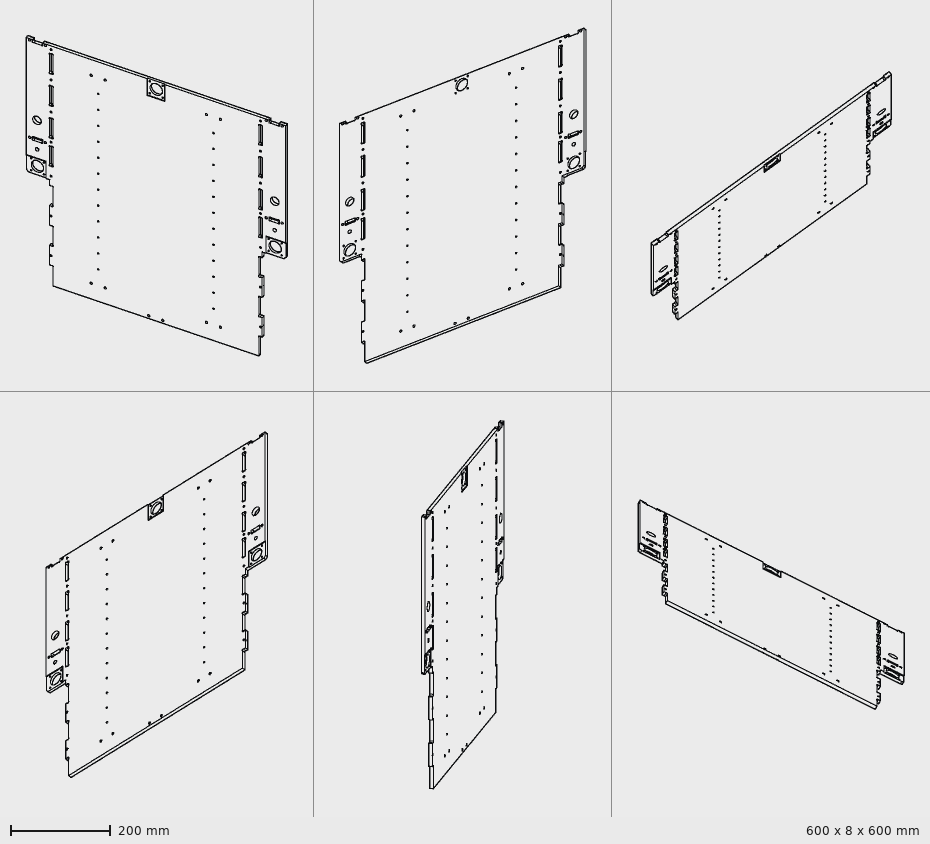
import cadquery as cq
import math

panel_size = 600.0
thickness = 8.0
half = panel_size / 2
front_y = -thickness / 2

body_half_width = 238.0
tab_depth = 8.0
tab_length = 49.0
slot_length = 50.0
tab_outer_x = body_half_width + tab_depth
tab_column_x = body_half_width + tab_depth / 2
tab_centres_z = (-126.0, -225.5)
slot_centres_z = (255.0, 174.5, 93.5, 23.5)
wing_pin_centres_z = (290.5, 215.0, 134.5, 59.0, -26.5)
pin_hole_diameter = 4.0
relief_diameter = 4.0

wing_bottom_z = -36.5
wing_chamfer = 5.0
half_tab_bottom_z = -51.0

fan_bore_diameter = 28.0
fan_screw_diameter = 3.0
fan_screw_spacing = 30.0
fan_recess_size = 41.0
fan_recess_depth = 2.0
top_recess_height = 42.0
top_fan_z = 279.0
wing_fan_x = 275.0
wing_fan_z = -15.0

cable_hole_diameter = 20.0
cable_hole_z = 101.5
small_hole_diameter = 8.0
small_hole_z = 29.0
connector_x = 273.5
connector_z = 53.0
connector_width = 23.5
connector_height = 8.5
connector_screw_spacing = 36.5
connector_screw_diameter = 5.0

notch_depth = 6.5
notch_screw_z = 296.5

rail_x = 133.0
rail_length = 440.0
rail_hole_count = 12
rail_hole_diameter = 3.0
bracket_z = 260.5
bracket_screw_spacing = 32.5
bracket_screw_diameter = 5.0
bottom_screw_z = -293.0


def box(x, z, width, height, depth=thickness):
    """Block centred at (x, z), reaching from the front face to the given depth."""
    return cq.Workplane("XY").box(width, depth, height).translate((x, front_y + depth / 2, z))


def holes(points, diameter):
    """Round through-cutters at the (x, z) points."""
    plane = cq.Workplane("XZ", origin=(0, thickness, 0))
    return plane.pushPoints(points).circle(diameter / 2).extrude(2 * thickness)


def mirrored(points):
    """The (x, z) points together with their mirror images across X = 0."""
    return points + [(-x, z) for x, z in points]


def corner_reliefs(corners):
    """Cutters that round out inside corners on both sides of the panel.

    Each corner is (x, z, x_sign, z_sign), with the signs pointing into the open space.
    Each cutter's rim passes through its corner.
    """
    inset = relief_diameter / 2 / math.sqrt(2)
    centres = [(x + i * inset, z + j * inset) for x, z, i, j in corners]
    return holes(mirrored(centres), relief_diameter)


def opening_corners(x, z, width, height):
    """The four inside corners of a rectangular opening centred at (x, z)."""
    signs = [(i, j) for i in (-1, 1) for j in (-1, 1)]
    return [(x + i * width / 2, z + j * height / 2, -i, -j) for i, j in signs]


def panel_blank():
    """Plain panel with its wings, half tabs and side tabs."""
    wing_height = half - wing_bottom_z
    blank = box(0, 0, 2 * body_half_width, panel_size)
    wings = box(0, half - wing_height / 2, panel_size, wing_height)
    wings = wings.edges("|Y and <Z").chamfer(wing_chamfer)
    half_tabs = box(0, half_tab_bottom_z / 2, 2 * tab_outer_x, -half_tab_bottom_z)
    blank = blank.union(wings).union(half_tabs)
    for z in tab_centres_z:
        blank = blank.union(box(0, z, 2 * tab_outer_x, tab_length))
    return blank


def fan_holes(panel, x, z):
    """Cut a fan bore and its four screw holes around (x, z)."""
    offset = fan_screw_spacing / 2
    screws = [(x + i * offset, z + j * offset) for i in (-1, 1) for j in (-1, 1)]
    return panel.cut(holes([(x, z)], fan_bore_diameter)).cut(holes(screws, fan_screw_diameter))


def cut_fan_mounts(panel):
    """Cut the recesses and holes of the top fan and the two wing fans."""
    recess_z = half - top_recess_height / 2
    panel = panel.cut(box(0, recess_z, fan_recess_size, top_recess_height, fan_recess_depth))
    panel = fan_holes(panel, 0, top_fan_z)
    inner_x = wing_fan_x - fan_recess_size / 2
    top_z = wing_fan_z + fan_recess_size / 2
    width = half - inner_x
    height = top_z - wing_bottom_z
    for side in (-1, 1):
        x = side * (inner_x + width / 2)
        panel = panel.cut(box(x, top_z - height / 2, width, height, fan_recess_depth))
        panel = fan_holes(panel, side * wing_fan_x, wing_fan_z)
    return panel


def cut_tab_column(panel):
    """Cut the wing slots, the inside corner reliefs and the pin holes along the tab columns."""
    for side in (-1, 1):
        for z in slot_centres_z:
            panel = panel.cut(box(side * tab_column_x, z, tab_depth, slot_length))
    corners = [(body_half_width, half_tab_bottom_z, 1, -1)]
    for z in tab_centres_z:
        corners += [(body_half_width, z + j * tab_length / 2, 1, j) for j in (-1, 1)]
    for z in slot_centres_z:
        corners += opening_corners(tab_column_x, z, tab_depth, slot_length)
    panel = panel.cut(corner_reliefs(corners))
    pins = [(tab_column_x, z) for z in wing_pin_centres_z + tab_centres_z]
    return panel.cut(holes(mirrored(pins), pin_hole_diameter))


def cut_wing_openings(panel):
    """Cut the cable holes, small holes, connector windows and edge notches."""
    panel = panel.cut(holes(mirrored([(wing_fan_x, cable_hole_z)]), cable_hole_diameter))
    panel = panel.cut(holes(mirrored([(wing_fan_x, small_hole_z)]), small_hole_diameter))
    for side in (-1, 1):
        x = side * connector_x
        panel = panel.cut(box(x, connector_z, connector_width, connector_height))
        panel = panel.cut(box(x, half - notch_depth / 2, connector_width, notch_depth))
    corners = opening_corners(connector_x, connector_z, connector_width, connector_height)
    notch_floor_z = half - notch_depth
    corners += [(connector_x + i * connector_width / 2, notch_floor_z, -i, 1) for i in (-1, 1)]
    panel = panel.cut(corner_reliefs(corners))
    offset = connector_screw_spacing / 2
    screws = [(connector_x + i * offset, z) for i in (-1, 1) for z in (connector_z, notch_screw_z)]
    return panel.cut(holes(mirrored(screws), connector_screw_diameter))


def cut_field_holes(panel):
    """Cut the rail, bracket and bottom edge screw holes."""
    pitch = rail_length / (rail_hole_count - 1)
    rail = [(rail_x, rail_length / 2 - i * pitch) for i in range(rail_hole_count)]
    panel = panel.cut(holes(mirrored(rail), rail_hole_diameter))
    offset = bracket_screw_spacing / 2
    brackets = [(rail_x + i * offset, j * bracket_z) for i in (-1, 1) for j in (-1, 1)]
    screws = mirrored(brackets) + mirrored([(offset, bottom_screw_z)])
    return panel.cut(holes(screws, bracket_screw_diameter))


result = panel_blank()
result = cut_fan_mounts(result)
result = cut_tab_column(result)
result = cut_wing_openings(result)
result = cut_field_holes(result)